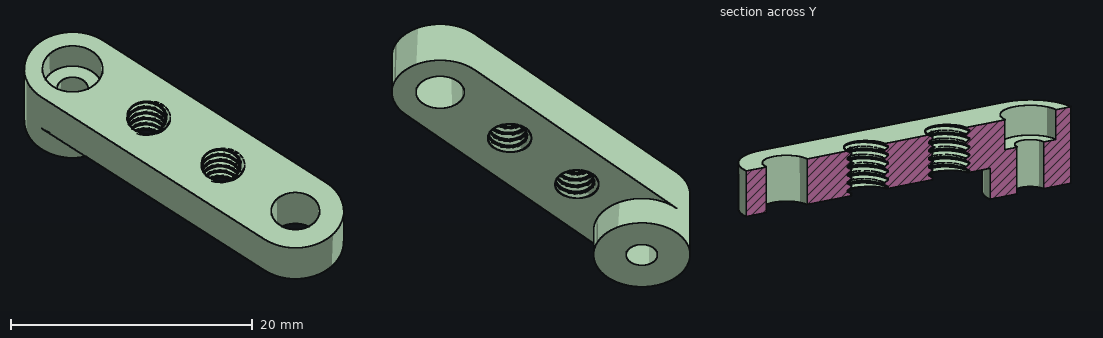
import cadquery as cq
import math

length = 32.0
width = 8.0
plate_thickness = 4.0
hole_spacing = (length - width) / 3

total_height = 6.7
plate_bottom = total_height - plate_thickness
counterbore_diameter = 5.0
counterbore_depth = 2.6
screw_hole_diameter = 2.6

end_hole_diameter = 4.0

thread_minor_diameter = 3.25
thread_major_diameter = 4.0
thread_pitch = 0.7
thread_half_angle = math.radians(30)
thread_root_flat = thread_pitch / 8
flank_steps = 6


def cylinder(x, diameter, bottom, top):
    """Vertical cylinder centred at x, between two heights."""
    return cq.Workplane("XY", origin=(x, 0, bottom)).circle(diameter / 2).extrude(top - bottom)


def make_arm():
    """Round-ended plate whose first end runs down into the taller boss."""
    bar_length = length - width
    bar = cq.Workplane("XY", origin=(bar_length / 2, 0, plate_bottom)).rect(bar_length, width)
    arm = bar.extrude(plate_thickness)
    arm = arm.union(cylinder(0, width, 0, total_height))
    return arm.union(cylinder(bar_length, width, plate_bottom, total_height)).clean()


def thread_cutter(x):
    """Tapped-hole solid: a level section of the thread, twisted one turn per pitch up the plate.

    In the section the root is an arc centred on +X, the crest is an arc centred on -X,
    and each flank is a spiral between them.
    """
    minor_radius = thread_minor_diameter / 2
    major_radius = thread_major_diameter / 2
    flank_height = (major_radius - minor_radius) * math.tan(thread_half_angle)
    root_half_turn = math.pi * thread_root_flat / thread_pitch
    flank_turn = 2 * math.pi * flank_height / thread_pitch

    upper_flank = []
    for step in range(flank_steps + 1):
        fraction = step / flank_steps
        radius = major_radius + (minor_radius - major_radius) * fraction
        angle = root_half_turn + flank_turn * fraction
        upper_flank.append((radius * math.cos(angle), radius * math.sin(angle)))
    lower_flank = [(px, -py) for px, py in reversed(upper_flank)]

    twist_degrees = 360 * plate_thickness / thread_pitch
    cutter = (
        cq.Workplane("XY")
        .moveTo(*upper_flank[0])
        .spline(upper_flank[1:], includeCurrent=True)
        .threePointArc((-minor_radius, 0), lower_flank[0])
        .spline(lower_flank[1:], includeCurrent=True)
        .threePointArc((major_radius, 0), upper_flank[0])
        .close()
        .twistExtrude(plate_thickness, twist_degrees)
    )
    cutter = cutter.rotate((0, 0, 0), (0, 0, 1), -twist_degrees)
    return cutter.translate((x, 0, plate_bottom))


result = make_arm()

counterbore_floor = total_height - counterbore_depth
result = result.cut(cylinder(0, screw_hole_diameter, 0, total_height))
result = result.cut(cylinder(0, counterbore_diameter, counterbore_floor, total_height))

for hole_number in (1, 2):
    result = result.cut(thread_cutter(hole_number * hole_spacing))

result = result.cut(cylinder(3 * hole_spacing, end_hole_diameter, plate_bottom, total_height))